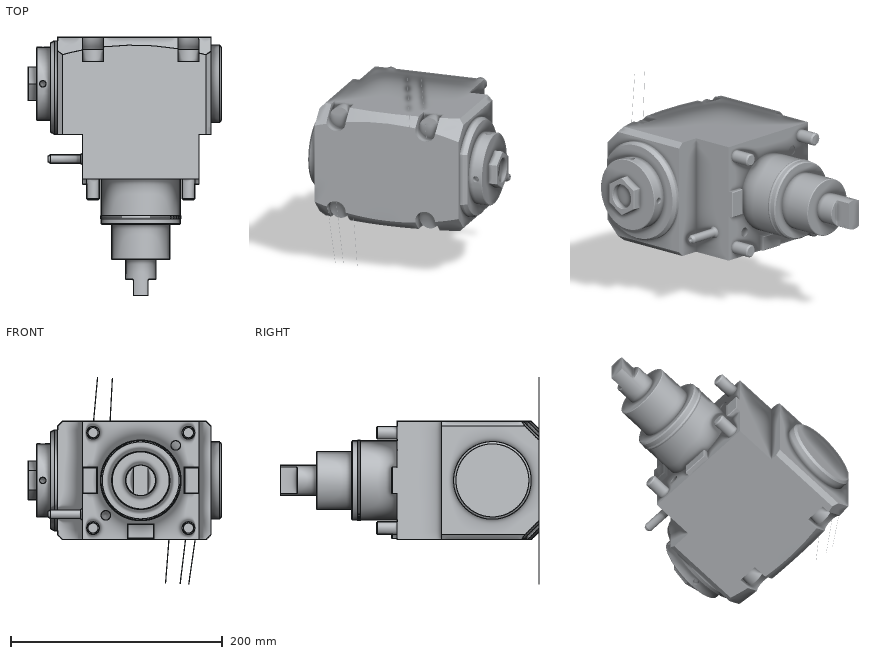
import cadquery as cq
import math


TOTAL_LENGTH_X = 182.8
TOTAL_LENGTH_Y = 244.0
TOTAL_HEIGHT = 194.85

BACK_Y = 134.0
STEP_Y = 42.0
HALF_HEIGHT = 56.0
NECK_HALF_WIDTH = 55.0
BODY_LEFT = -78.5
BODY_RIGHT = 66.3
BODY_CHAMFER = 4.8

CROWN_RADIUS = 360.0
CROWN_X = -6.5
CROWN_REACH = 182.5

SHOULDER = (-43.0, 75.0, 1.2)
SLEEVE = (-76.0, 55.0, 0.6)
JOURNAL = (-94.5, 28.8, 0.4)
TANG_END = BACK_Y - TOTAL_LENGTH_Y
TANG_WIDTH = 14.0
TANG_FILLET = 1.2
SEAL_RING_Y = -35.9
SEAL_RING_DIAMETER = 4.6
SEAL_RING_PROTRUSION = 0.6

SCREW_OFFSET = 45.0
SCREW_DIAMETER = 12.0
SCREW_END_Y = -19.5
SCREW_CHAMFER = 1.2
SCREW_POCKET_WIDTH = 20.0
SCREW_POCKET_FLOOR_Y = 111.0
SCREW_HEAD_HEIGHT = 11.5

KEY_LENGTH = 25.0
KEY_INNER = 41.0
KEY_OUTER = NECK_HALF_WIDTH
KEY_HEIGHT = 5.0
KEY_CHAMFER = 0.6

FACE_HOLE_OFFSET = 33.0
FACE_HOLE_DIAMETER = 9.0
FACE_RECESS_DEPTH = 1.0
FACE_DRILL_DEPTH = 10.0
DRILL_POINT_ANGLE = 118.0

NOZZLE_Y = 19.0
NOZZLE_Z = -32.0
NOZZLE_TIP_X = -87.6
NOZZLE_RADIUS = 4.1
NOZZLE_TIP_RADIUS = 2.6
NOZZLE_TIP_LENGTH = 2.4
NOZZLE_BASE_RADIUS = 5.6
NOZZLE_BASE_LENGTH = 2.0
NOZZLE_BORE = 3.0

SPINDLE_Y = 90.0
COVER_X = -85.2
COVER_RIM_X = -81.5
COVER_RADIUS = 47.7
COVER_TAPER_INSET = 2.1
COVER_FLAT_Y = 130.6
COLLAR_X = -98.3
COLLAR_DIAMETER = 69.2
COLLAR_CHAMFER = 0.6
PIN_HOLE_X = -92.4
PIN_HOLE_DIAMETER = 6.0
PIN_HOLE_DEPTH = 6.0
END_CAP_X = 76.3
END_CAP_DIAMETER = 73.3
END_CAP_CHAMFER = 2.2

NOSE_END_X = END_CAP_X - TOTAL_LENGTH_X
NOSE_DIAMETER = 40.6
HEX_ACROSS_FLATS = 32.0
HEX_CHAMFER = 0.5
HEX_BORE = 23.0
HEX_BORE_DEPTH = 6.7
HEX_BORE_CHAMFER = 0.6

WHISKER_THICKNESS = 0.15
WHISKER_TOP = 96.9
WHISKER_BOTTOM = WHISKER_TOP - TOTAL_HEIGHT
WHISKER_BURIED_LENGTH = 25.0
WHISKERS = [
    (-44.5, -40.8, WHISKER_TOP),
    (-28.9, -26.8, WHISKER_TOP - 0.8),
    (26.6, 23.4, WHISKER_BOTTOM + 1.0),
    (42.2, 37.2, WHISKER_BOTTOM + 0.6),
    (51.3, 45.3, WHISKER_BOTTOM),
]


def cylinder_y(x, z, diameter, start, end):
    """Cylinder parallel to Y, from Y = start to Y = end."""
    direction = math.copysign(1, end - start)
    plane = cq.Plane(origin=(x, start, z), xDir=(1, 0, 0), normal=(0, direction, 0))
    return cq.Workplane(plane).circle(diameter / 2).extrude(abs(end - start))


def cylinder_x(y, z, diameter, start, end):
    """Cylinder parallel to X, from X = start to X = end."""
    direction = math.copysign(1, end - start)
    plane = cq.Plane(origin=(start, y, z), xDir=(0, 1, 0), normal=(direction, 0, 0))
    return cq.Workplane(plane).circle(diameter / 2).extrude(abs(end - start))


def box_between(x, y, z):
    """Box spanning the (low, high) pairs given for each axis."""
    sizes = [high - low for low, high in (x, y, z)]
    return cq.Workplane("XY").box(*sizes, centered=False).translate((x[0], y[0], z[0]))


def drilled_hole(origin, direction, diameter, depth):
    """Blind hole with a conical drill point, running from origin along direction."""
    radius = diameter / 2
    point = radius / math.tan(math.radians(DRILL_POINT_ANGLE / 2))
    origin = cq.Vector(*origin)
    direction = cq.Vector(*direction)
    barrel = cq.Solid.makeCylinder(radius, depth, origin, direction)
    tip = cq.Solid.makeCone(radius, 0, point, origin + direction * depth, direction)
    return cq.Workplane(barrel.fuse(tip))


def crowned_envelope(side):
    """Large cylinder whose axis follows the 45 degree bevel on the upper (+1) or lower (-1) back edge."""
    axis_reach = CROWN_REACH / math.sqrt(2) - CROWN_RADIUS
    along = cq.Vector(0, 1, -side).normalized()
    outward = cq.Vector(0, 1, side).normalized()
    start = cq.Vector(CROWN_X, 0, 0) + outward * axis_reach - along * CROWN_RADIUS
    return cq.Workplane(cq.Solid.makeCylinder(CROWN_RADIUS, 2 * CROWN_RADIUS, start, along))


def housing_block():
    height = (-HALF_HEIGHT, HALF_HEIGHT)
    body = box_between((BODY_LEFT, BODY_RIGHT), (STEP_Y, BACK_Y), height).edges("|Y").chamfer(BODY_CHAMFER)
    neck = box_between((-NECK_HALF_WIDTH, NECK_HALF_WIDTH), (0, BACK_Y), height)
    block = body.union(neck)
    for side in (1, -1):
        block = block.intersect(crowned_envelope(side))
    return block


def drive_shaft():
    shaft = None
    start = 0
    for end, diameter, chamfer in (SHOULDER, SLEEVE, JOURNAL):
        step = cylinder_y(0, 0, diameter, start, end).faces("<Y").chamfer(chamfer)
        shaft = step if shaft is None else shaft.union(step)
        start = end
    journal_end, journal_diameter, journal_chamfer = JOURNAL
    tang_root = journal_end + journal_chamfer
    half_width = TANG_WIDTH / 2
    foot = half_width + TANG_FILLET
    tang_outline = (
        cq.Workplane("XY")
        .moveTo(-foot, tang_root)
        .lineTo(-foot, journal_end)
        .radiusArc((-half_width, journal_end - TANG_FILLET), TANG_FILLET)
        .lineTo(-half_width, TANG_END)
        .lineTo(half_width, TANG_END)
        .lineTo(half_width, journal_end - TANG_FILLET)
        .radiusArc((foot, journal_end), TANG_FILLET)
        .lineTo(foot, tang_root)
        .close()
        .extrude(journal_diameter, both=True)
    )
    tang = tang_outline.intersect(cylinder_y(0, 0, journal_diameter, tang_root, TANG_END))
    ring_radius = SEAL_RING_DIAMETER / 2
    ring_centre = SHOULDER[1] / 2 + SEAL_RING_PROTRUSION - ring_radius
    seal_ring = cq.Workplane(
        cq.Solid.makeTorus(ring_centre, ring_radius, cq.Vector(0, SEAL_RING_Y, 0), cq.Vector(0, 1, 0))
    )
    return shaft.union(tang).union(seal_ring)


def screw_pocket(x, side):
    """U-shaped slot for one screw head, open to the back and to the top (+1) or bottom (-1)."""
    z = side * SCREW_OFFSET
    half_width = SCREW_POCKET_WIDTH / 2
    rounded_floor = cylinder_y(x, z, SCREW_POCKET_WIDTH, SCREW_POCKET_FLOOR_Y, BACK_Y)
    opening = box_between(
        (x - half_width, x + half_width),
        (SCREW_POCKET_FLOOR_Y, BACK_Y),
        sorted((z, side * (HALF_HEIGHT + half_width))),
    )
    return rounded_floor.union(opening)


def screw(x, z):
    head_top = SCREW_POCKET_FLOOR_Y + SCREW_HEAD_HEIGHT
    head = cylinder_y(x, z, SCREW_POCKET_WIDTH, SCREW_POCKET_FLOOR_Y, head_top)
    shank = cylinder_y(x, z, SCREW_DIAMETER, SCREW_POCKET_FLOOR_Y, SCREW_END_Y)
    return head.union(shank.faces("<Y").chamfer(SCREW_CHAMFER))


def locating_key(angle):
    """Key on the flange face; angle 0 is the +X side, turning about Y."""
    half_length = KEY_LENGTH / 2
    key = box_between((KEY_INNER, KEY_OUTER), (-KEY_HEIGHT, 0), (-half_length, half_length))
    key = key.faces("<Y").chamfer(KEY_CHAMFER)
    return key.rotate((0, 0, 0), (0, 1, 0), angle)


def coolant_nozzle():
    base_x = -NECK_HALF_WIDTH
    profile = [
        (base_x, 0),
        (base_x, NOZZLE_BASE_RADIUS),
        (base_x - NOZZLE_BASE_LENGTH, NOZZLE_RADIUS),
        (NOZZLE_TIP_X + NOZZLE_TIP_LENGTH, NOZZLE_RADIUS),
        (NOZZLE_TIP_X, NOZZLE_TIP_RADIUS),
        (NOZZLE_TIP_X, 0),
    ]
    nozzle = cq.Workplane("XY").polyline(profile).close().revolve(360, (0, 0, 0), (1, 0, 0))
    bore = cylinder_x(0, 0, NOZZLE_BORE, NOZZLE_TIP_X, base_x)
    return nozzle.cut(bore).translate((0, NOZZLE_Y, NOZZLE_Z))


def bearing_cover():
    """D-shaped cover, flat on the side towards the back face, with a rim that tapers to its outer face."""
    flat = COVER_FLAT_Y - SPINDLE_Y
    half_chord = math.sqrt(COVER_RADIUS**2 - flat**2)
    taper_length = COVER_RIM_X - COVER_X
    taper_angle = math.degrees(math.atan(COVER_TAPER_INSET / taper_length))

    def outline(x):
        plane = cq.Plane(origin=(x, SPINDLE_Y, 0), xDir=(0, 1, 0), normal=(-1, 0, 0))
        return (
            cq.Workplane(plane)
            .moveTo(flat, half_chord)
            .threePointArc((-COVER_RADIUS, 0), (flat, -half_chord))
            .close()
        )

    rim = outline(BODY_LEFT).extrude(BODY_LEFT - COVER_RIM_X)
    return rim.union(outline(COVER_RIM_X).extrude(taper_length, taper=taper_angle))


def collar():
    """Ring with four radial pin holes and a bore that seats the spindle nose."""
    ring = cylinder_x(SPINDLE_Y, 0, COLLAR_DIAMETER, COVER_X, COLLAR_X).faces("<X").chamfer(COLLAR_CHAMFER)
    radius = COLLAR_DIAMETER / 2
    for dy, dz in ((1, 0), (0, 1), (-1, 0), (0, -1)):
        rim_point = (PIN_HOLE_X, SPINDLE_Y + dy * radius, dz * radius)
        ring = ring.cut(drilled_hole(rim_point, (0, -dy, -dz), PIN_HOLE_DIAMETER, PIN_HOLE_DEPTH))
    return ring.cut(cylinder_x(SPINDLE_Y, 0, NOSE_DIAMETER, COVER_X, COLLAR_X))


def end_cap():
    cap = cylinder_x(SPINDLE_Y, 0, END_CAP_DIAMETER, BODY_RIGHT, END_CAP_X)
    return cap.faces(">X").chamfer(END_CAP_CHAMFER)


def whisker(root_x, tip_x, tip_z):
    """Square hair flush with the back face, carried on into the block so that it is held there."""
    side = math.copysign(1, tip_z)
    slope = (tip_x - root_x) / (tip_z - side * HALF_HEIGHT)
    inner_z = side * (HALF_HEIGHT - WHISKER_BURIED_LENGTH)
    inner_x = root_x + slope * (inner_z - side * HALF_HEIGHT)
    half = WHISKER_THICKNESS / 2
    corners = [
        (inner_x - half, inner_z),
        (inner_x + half, inner_z),
        (tip_x + half, tip_z),
        (tip_x - half, tip_z),
    ]
    front = cq.Workplane("XZ", origin=(0, BACK_Y, 0))
    return front.polyline(corners).close().extrude(WHISKER_THICKNESS)


def build_housing():
    housing = housing_block()
    for side in (1, -1):
        for x in (-SCREW_OFFSET, SCREW_OFFSET):
            housing = housing.cut(screw_pocket(x, side))
            housing = housing.union(screw(x, side * SCREW_OFFSET))
    housing = housing.union(drive_shaft())
    for angle in (0, 90, 180):
        housing = housing.union(locating_key(angle))

    recess = cylinder_y(FACE_HOLE_OFFSET, FACE_HOLE_OFFSET, FACE_HOLE_DIAMETER, 0, FACE_RECESS_DEPTH)
    drilled = drilled_hole(
        (-FACE_HOLE_OFFSET, 0, -FACE_HOLE_OFFSET), (0, 1, 0), FACE_HOLE_DIAMETER, FACE_DRILL_DEPTH
    )
    housing = housing.cut(recess).cut(drilled)

    for attachment in (coolant_nozzle(), bearing_cover(), collar(), end_cap()):
        housing = housing.union(attachment)
    for root_x, tip_x, tip_z in WHISKERS:
        housing = housing.union(whisker(root_x, tip_x, tip_z))
    return housing


def build_spindle_nose():
    """Hexagon on a round shank that sits flush in the collar."""
    shank = cylinder_x(SPINDLE_Y, 0, NOSE_DIAMETER, COVER_X, COLLAR_X)
    across_corners = HEX_ACROSS_FLATS / math.cos(math.pi / 6)
    hex_plane = cq.Plane(origin=(COLLAR_X, SPINDLE_Y, 0), xDir=(0, 0, 1), normal=(-1, 0, 0))
    hexagon = cq.Workplane(hex_plane).polygon(6, across_corners).extrude(COLLAR_X - NOSE_END_X)
    hexagon = hexagon.faces("<X").chamfer(HEX_CHAMFER)
    bore = cylinder_x(SPINDLE_Y, 0, HEX_BORE, NOSE_END_X, NOSE_END_X + HEX_BORE_DEPTH)
    hexagon = hexagon.cut(bore)
    hexagon = hexagon.faces("<X").edges("%CIRCLE").chamfer(HEX_BORE_CHAMFER)
    return shank.union(hexagon)


housing = build_housing()
spindle_nose = build_spindle_nose()
result = cq.Compound.makeCompound([housing.val(), spindle_nose.val()])